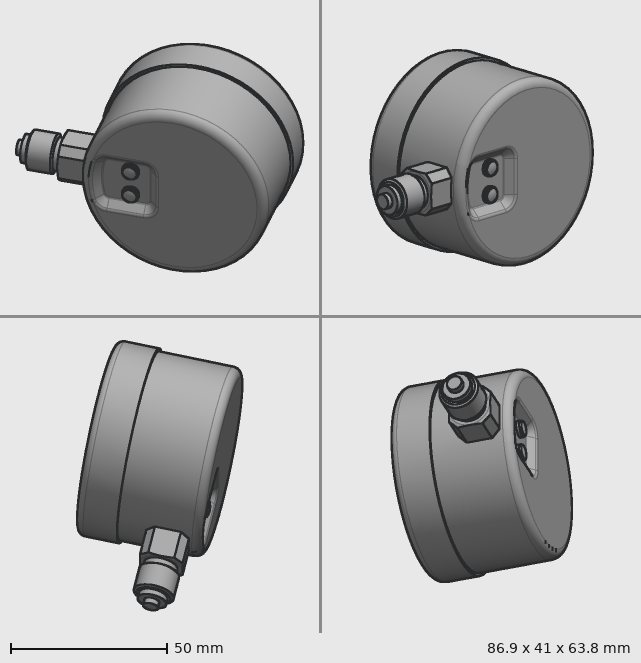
import cadquery as cq
import math

TOTAL_DEPTH = 41.0
CASE_RADIUS = 31.0
BEZEL_RADIUS = 31.9
BEZEL_DEPTH = 13.6
BACK_ROUND = 3.0
FRONT_ROUND = 2.5
STEM_TO_BACK = 11.0
BACK_Y = -STEM_TO_BACK
FRONT_Y = BACK_Y + TOTAL_DEPTH

STEM_TIP_X = -55.0
PILOT_X = -53.0
COLLAR_X = -51.0
NECK_X = -42.0
SQUARE_X = -40.0
SQUARE_WIDTH = 14.0
SQUARE_CORNER_CUT = 2.7
SQUARE_FACE_DIAMETER = 13.6
SQUARE_CONE_WIDTH = 1.4
SQUARE_CONE_LENGTH = 0.35
TIP_DIAMETER = 5.0
PILOT_DIAMETER = 9.5
COLLAR_DIAMETER = 13.16
COLLAR_CHAMFER_WIDTH = 0.95
COLLAR_CHAMFER_LENGTH = 0.55
NECK_DIAMETER = 11.0
STEM_ROOT_OVERLAP = 3.0
STEM_ROOT_X = -CASE_RADIUS + STEM_ROOT_OVERLAP

POCKET_DEPTH = 2.9
POCKET_WALL_LEAN = 45.0
FLOOR_RIGHT_X = -8.4
FLOOR_ARC_RADIUS = 24.65
FLOOR_HALF_HEIGHT = 7.6
FLOOR_CORNER_RADIUS = 1.6
RIM_ROUND = 1.5
FLOOR_ROUND = 0.6

STUD_DIAMETER = 5.5
STUD_SIDE_HEIGHT = 1.0
STUD_CHAMFER_WIDTH = 0.35
STUD_CHAMFER_HEIGHT = 0.65
STUD_DOME_HEIGHT = 0.5
STUD_X = -15.0
STUD_SPACING = 9.0


def at_y(y):
    """Workplane facing -Y at the given depth; local x is X, local y is Z."""
    return cq.Workplane("XZ", origin=(0, y, 0))


def make_case():
    body = at_y(FRONT_Y).circle(CASE_RADIUS).extrude(TOTAL_DEPTH).faces("<Y").edges().fillet(BACK_ROUND)
    bezel = at_y(FRONT_Y).circle(BEZEL_RADIUS).extrude(BEZEL_DEPTH)
    return body.union(bezel).faces(">Y").edges().fillet(FRONT_ROUND)


def turn_on_stem(profile):
    """Solid of revolution about X from a profile of (x, radius) points that starts and ends on the axis."""
    return cq.Workplane("XY").polyline(profile).close().revolve(360, (0, 0, 0), (1, 0, 0))


def make_stem():
    square = (
        cq.Workplane("YZ", origin=(SQUARE_X, 0, 0))
        .rect(SQUARE_WIDTH, SQUARE_WIDTH)
        .extrude(STEM_ROOT_X - SQUARE_X)
        .edges("|X")
        .chamfer(SQUARE_CORNER_CUT)
    )
    cone_end_radius = SQUARE_FACE_DIAMETER / 2 + SQUARE_CONE_WIDTH
    cone = turn_on_stem(
        [
            (SQUARE_X, 0),
            (SQUARE_X, SQUARE_FACE_DIAMETER / 2),
            (SQUARE_X + SQUARE_CONE_LENGTH, cone_end_radius),
            (STEM_ROOT_X, cone_end_radius),
            (STEM_ROOT_X, 0),
        ]
    )
    collar_shoulder_radius = COLLAR_DIAMETER / 2 - COLLAR_CHAMFER_WIDTH
    turned_end = turn_on_stem(
        [
            (STEM_TIP_X, 0),
            (STEM_TIP_X, TIP_DIAMETER / 2),
            (PILOT_X, TIP_DIAMETER / 2),
            (PILOT_X, PILOT_DIAMETER / 2),
            (COLLAR_X, PILOT_DIAMETER / 2),
            (COLLAR_X, collar_shoulder_radius),
            (COLLAR_X + COLLAR_CHAMFER_LENGTH, COLLAR_DIAMETER / 2),
            (NECK_X - COLLAR_CHAMFER_LENGTH, COLLAR_DIAMETER / 2),
            (NECK_X, NECK_DIAMETER / 2),
            (SQUARE_X, NECK_DIAMETER / 2),
            (SQUARE_X, 0),
        ]
    )
    return square.intersect(cone).union(turned_end)


def cut_pocket(case):
    floor_y = BACK_Y + POCKET_DEPTH
    corner_x = -math.sqrt(FLOOR_ARC_RADIUS**2 - FLOOR_HALF_HEIGHT**2)
    outline = (
        cq.Sketch()
        .segment((corner_x, -FLOOR_HALF_HEIGHT), (FLOOR_RIGHT_X, -FLOOR_HALF_HEIGHT))
        .segment((FLOOR_RIGHT_X, FLOOR_HALF_HEIGHT))
        .segment((corner_x, FLOOR_HALF_HEIGHT))
        .arc((corner_x, FLOOR_HALF_HEIGHT), (-FLOOR_ARC_RADIUS, 0), (corner_x, -FLOOR_HALF_HEIGHT))
        .assemble()
        .vertices()
        .fillet(FLOOR_CORNER_RADIUS)
    )
    cutter = at_y(floor_y).placeSketch(outline).extrude(POCKET_DEPTH, taper=-POCKET_WALL_LEAN)
    cutter = cutter.faces(">Y").edges().fillet(FLOOR_ROUND)
    pocketed = case.cut(cutter)
    back_face = pocketed.faces("<Y")
    rim = back_face.wires(cq.selectors.LengthNthSelector(0)).edges()
    return rim.fillet(RIM_ROUND)


def make_stud(z):
    head_radius = STUD_DIAMETER / 2 - STUD_CHAMFER_WIDTH
    shoulder_height = STUD_SIDE_HEIGHT + STUD_CHAMFER_HEIGHT
    dome_radius = (head_radius**2 + STUD_DOME_HEIGHT**2) / (2 * STUD_DOME_HEIGHT)
    dome_center_height = shoulder_height + STUD_DOME_HEIGHT - dome_radius
    dome_middle_height = dome_center_height + math.sqrt(dome_radius**2 - (head_radius / 2) ** 2)
    dome_middle = (head_radius / 2, dome_middle_height)
    return (
        at_y(BACK_Y + POCKET_DEPTH)
        .center(STUD_X, z)
        .transformed(rotate=(90, 0, 0))
        .lineTo(STUD_DIAMETER / 2, 0)
        .lineTo(STUD_DIAMETER / 2, STUD_SIDE_HEIGHT)
        .lineTo(head_radius, shoulder_height)
        .threePointArc(dome_middle, (0, shoulder_height + STUD_DOME_HEIGHT))
        .close()
        .revolve(360, (0, 0, 0), (0, 1, 0))
    )


result = cut_pocket(make_case()).union(make_stem())
for side in (-1, 1):
    result = result.union(make_stud(side * STUD_SPACING / 2))